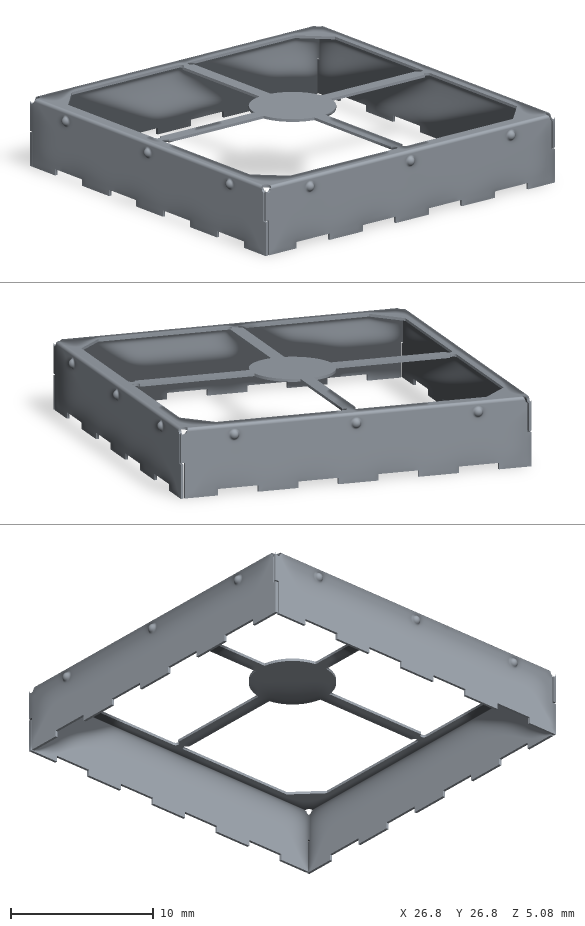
import cadquery as cq
import math


side = 26.24
height = 5.08
thickness = 0.2
bend_radius = 0.23
half_side = side / 2
wall_angles = (0, 90, 180, 270)

border = 1.0
window_chamfer = 2.0
spoke_width = 1.0
hub_radius = 3.08
neck_radius = 0.26
window_half = half_side - border

corner_gap = 0.1
end_step = thickness + corner_gap
split_height = height / 2
top_relief_radius = 0.34
wall_relief_radius = 0.22

notch_count = 4
notch_pitch = 6.0
notch_width = 3.0
notch_depth = 0.47
notch_offset = 0.18

dimple_positions = (-9.12, 0, 9.12)
dimple_drop = 0.76
dimple_height = 0.29
dimple_base_radius = 0.45
dimple_crown_radius = 0.34


def turned(shape, angle):
    """Turn a shape about the central Z axis."""
    return shape.rotate((0, 0, 0), (0, 0, 1), angle)


def box(x_min, x_max, y_min, y_max, z_min, z_max):
    """Axis-aligned block given by its limits."""
    size = (x_max - x_min, y_max - y_min, z_max - z_min)
    return cq.Workplane("XY").box(*size, centered=False).translate((x_min, y_min, z_min))


def make_shell():
    """Open-bottomed box with rounded upper edges and uniform thickness."""
    outer = box(-half_side, half_side, -half_side, half_side, 0, height)
    outer = outer.faces(">Z").edges().fillet(bend_radius)
    inner_half = half_side - thickness
    inner = box(-inner_half, inner_half, -inner_half, inner_half, 0, height - thickness)
    inner = inner.faces(">Z").edges().fillet(bend_radius - thickness)
    return outer.cut(inner)


def make_window():
    """Chamfered window, less the hub and the four spokes that stay in it.

    Round bites on both edges narrow each spoke to a neck where it meets the border.
    """
    depth = thickness
    base = cq.Workplane("XY").workplane(offset=height - depth)
    window = base.rect(2 * window_half, 2 * window_half).extrude(depth)
    window = window.edges("|Z").chamfer(window_chamfer)
    window = window.cut(base.rect(side, spoke_width).extrude(depth))
    window = window.cut(base.rect(spoke_width, side).extrude(depth))
    window = window.cut(base.circle(hub_radius).extrude(depth))
    neck_distance = window_half - neck_radius
    necks = [(neck_distance, edge * spoke_width / 2) for edge in (-1, 1)]
    neck_holes = base.pushPoints(necks).circle(neck_radius).extrude(depth)
    for angle in wall_angles:
        window = window.union(turned(neck_holes, angle))
    return window


def make_notches():
    """Notches in the lower edge of the -Y wall."""
    y_min = -half_side
    y_max = -half_side + thickness
    first_centre = notch_offset - (notch_count - 1) * notch_pitch / 2
    notches = cq.Workplane("XY")
    for index in range(notch_count):
        centre = first_centre + index * notch_pitch
        x_min = centre - notch_width / 2
        x_max = centre + notch_width / 2
        notches = notches.union(box(x_min, x_max, y_min, y_max, 0, notch_depth))
    return notches


def make_corner_cuts():
    """Slit and relief holes at the -X, -Y corner.

    The upper half of the -Y wall and the lower half of the -X wall reach the corner.
    """
    corner = -half_side
    inner = corner + thickness
    stepped = corner + end_step
    low = split_height - corner_gap / 2
    high = split_height + corner_gap / 2
    slit = box(inner, stepped, corner, stepped, 0, high)
    slit = slit.union(box(corner, stepped, inner, stepped, low, height))
    slit = slit.union(box(corner, stepped, corner, stepped, low, high))

    fold = corner + bend_radius
    fold_height = height - bend_radius
    top_hole = cq.Workplane("XY").circle(top_relief_radius).extrude(bend_radius)
    top_hole = top_hole.translate((fold, fold, fold_height))
    front_hole = cq.Workplane("XZ").circle(wall_relief_radius).extrude(bend_radius)
    front_hole = front_hole.translate((fold, fold, fold_height))
    left_hole = cq.Workplane("YZ").circle(wall_relief_radius).extrude(-bend_radius)
    left_hole = left_hole.translate((fold, fold, fold_height))
    return slit.union(top_hole).union(front_hole).union(left_hole)


def make_dimple():
    """Domed dimple on the -Y wall, with a concave foot that runs tangentially into the wall."""
    wall_face = -half_side
    root = wall_face + thickness / 2
    tip = wall_face - dimple_height

    radius_sum = (dimple_base_radius**2 + dimple_height**2) / (2 * dimple_height)
    foot_radius = radius_sum - dimple_crown_radius
    sweep = math.asin(dimple_base_radius / radius_sum)

    def crown_point(angle):
        radius = dimple_crown_radius
        return (radius * math.sin(angle), tip + radius * (1 - math.cos(angle)))

    def foot_point(angle):
        radius = foot_radius
        return (dimple_base_radius - radius * math.sin(angle), wall_face - radius * (1 - math.cos(angle)))

    profile = (
        cq.Workplane("XY")
        .moveTo(0, root)
        .lineTo(dimple_base_radius, root)
        .lineTo(dimple_base_radius, wall_face)
        .threePointArc(foot_point(sweep / 2), foot_point(sweep))
        .threePointArc(crown_point(sweep / 2), crown_point(0))
        .close()
    )
    return profile.revolve(360, (0, 0, 0), (0, 1, 0))


result = make_shell().cut(make_window())
notches = make_notches()
corner_cuts = make_corner_cuts()
dimple = make_dimple()
for angle in wall_angles:
    result = result.cut(turned(notches, angle))
    result = result.cut(turned(corner_cuts, angle))
    for position in dimple_positions:
        result = result.union(turned(dimple.translate((position, 0, height - dimple_drop)), angle))